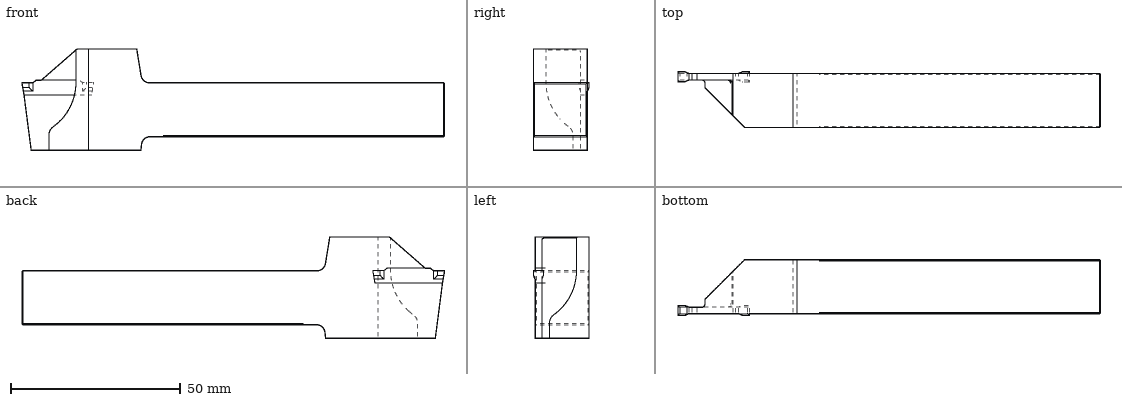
import cadquery as cq
import math

length = 125.0
shank_size = 16.0
shank_bottom = 4.0
shank_top = shank_bottom + shank_size
shank_chamfer = 0.4

head_height = 30.0
shoulder_top_x = 34.0
shoulder_x = 35.6
shoulder_bottom_x = 35.2
shoulder_radius = 2.5

blade_thickness = 2.0
blade_face_y = shank_size - blade_thickness
blade_tip_x = 0.6
blade_heel_x = 2.8
clamp_tip_x = 5.8
clamp_top_x = 16.4

bevel_start_x = 19.8
relief_top_x = 16.0
relief_foot_x = 8.0
relief_radius = 16.0
relief_foot_radius = 3.1
relief_corner_radius = 0.9

insert_length = 21.2
insert_bottom = 16.4
insert_top = 20.8
tip_width = 3.0
tip_length = 3.2
tip_straight_length = 2.1
tip_bottom = 17.5
tip_taper_start = 18.6
ramp_end_x = 4.2
tip_overhang = (tip_width - blade_thickness) / 2

margin = 6.2
pick = 0.1


def prism_y(points, y_start, y_end):
    """Extrude an XZ outline from y_start to y_end."""
    outline = cq.Workplane("XZ", origin=(0, y_start, 0)).polyline(points).close()
    return outline.extrude(y_start - y_end)


def make_shank():
    """Square bar with its far end and its lower long edges chamfered."""
    start_x = bevel_start_x
    bar = cq.Workplane("XY").box(length - start_x, shank_size, shank_size, centered=False)
    bar = bar.translate((start_x, 0, shank_bottom))
    return bar.faces(">X").edges().chamfer(shank_chamfer).edges("|X and <Z").chamfer(shank_chamfer)


def make_head():
    """Head block and blade outline, with rounded shoulders at the shank."""
    outline = [
        (blade_heel_x, 0),
        (shoulder_bottom_x, 0),
        (shoulder_x, shank_bottom),
        (shoulder_x + margin, shank_bottom),
        (shoulder_x + margin, shank_top),
        (shoulder_x, shank_top),
        (shoulder_top_x, head_height),
        (clamp_top_x, head_height),
        (clamp_tip_x, insert_top),
        (clamp_tip_x, insert_bottom),
        (blade_tip_x, insert_bottom),
    ]
    head = prism_y(outline, 0, shank_size)
    shoulder_edges = cq.selectors.BoxSelector(
        (shoulder_x - pick, -margin, shank_bottom - pick),
        (shoulder_x + pick, shank_size + margin, shank_top + pick),
    )
    return head.edges("|Y").edges(shoulder_edges).fillet(shoulder_radius)


def make_relief():
    """Space in front of the blade, bounded by a curved wall."""
    centre_x = relief_top_x - relief_radius
    foot_z = shank_top - math.sqrt(relief_radius**2 - (relief_foot_x - centre_x) ** 2)
    mid_angle = math.atan2(foot_z - shank_top, relief_foot_x - centre_x) / 2
    arc_middle = (
        centre_x + relief_radius * math.cos(mid_angle),
        shank_top + relief_radius * math.sin(mid_angle),
    )
    relief = (
        cq.Workplane("XZ", origin=(0, -margin, 0))
        .moveTo(-margin, -margin)
        .lineTo(relief_foot_x, -margin)
        .lineTo(relief_foot_x, foot_z)
        .threePointArc(arc_middle, (relief_top_x, shank_top))
        .lineTo(relief_top_x, head_height + margin)
        .lineTo(-margin, head_height + margin)
        .close()
        .extrude(-(blade_face_y + margin))
    )
    foot_edge = cq.selectors.BoxSelector(
        (relief_foot_x - pick, -margin, foot_z - pick),
        (relief_foot_x + pick, shank_size, foot_z + pick),
    )
    return relief.edges("|Y").edges(foot_edge).fillet(relief_foot_radius)


def make_bevel():
    """45 degree cut across the front corner of the head, stopping at the blade face."""
    corner = [
        (bevel_start_x, 0),
        (bevel_start_x - blade_face_y, blade_face_y),
        (-margin, blade_face_y),
        (-margin, 0),
    ]
    return cq.Workplane("XY").polyline(corner).close().extrude(head_height)


def make_tip():
    """Cutting tip, wider than the blade, narrowing rearward and downward."""
    plan = [
        (0, blade_face_y - tip_overhang),
        (tip_straight_length, blade_face_y - tip_overhang),
        (tip_length, blade_face_y),
        (tip_length, shank_size),
        (tip_straight_length, shank_size + tip_overhang),
        (0, shank_size + tip_overhang),
    ]
    section = [
        (blade_face_y, tip_bottom),
        (shank_size, tip_bottom),
        (shank_size + tip_overhang, tip_taper_start),
        (shank_size + tip_overhang, shank_top),
        (blade_face_y - tip_overhang, shank_top),
        (blade_face_y - tip_overhang, tip_taper_start),
    ]
    side = [
        (0, shank_top),
        (tip_length, shank_top),
        (tip_length, tip_bottom),
        (blade_tip_x * (shank_top - tip_bottom) / (shank_top - insert_bottom), tip_bottom),
    ]
    tip = cq.Workplane("XY").polyline(plan).close().extrude(head_height)
    tip = tip.intersect(cq.Workplane("YZ").polyline(section).close().extrude(tip_length))
    return tip.intersect(prism_y(side, -margin, shank_size + margin))


def make_insert():
    """Bar with a cutting tip at each end."""
    outline = [
        (0, shank_top),
        (tip_length, shank_top),
        (ramp_end_x, insert_top),
        (insert_length - ramp_end_x, insert_top),
        (insert_length - tip_length, shank_top),
        (insert_length, shank_top),
        (insert_length - blade_tip_x, insert_bottom),
        (blade_tip_x, insert_bottom),
    ]
    bar = prism_y(outline, blade_face_y, shank_size)
    tip = make_tip()
    rear_tip = tip.mirror("YZ").translate((insert_length, 0, 0))
    return bar.union(tip).union(rear_tip)


def make_holder(insert):
    """Head and shank with the relief, the bevel and the insert seat cut away."""
    relief = make_relief()
    rounded_relief = relief.faces(">Y").edges().fillet(relief_corner_radius)
    seat_height = insert_top - insert_bottom
    seat_band = cq.Workplane("XY").box(length, shank_size, seat_height, centered=False)
    seat_band = seat_band.translate((0, 0, insert_bottom))
    holder = make_head().cut(rounded_relief).cut(relief.intersect(seat_band))
    return holder.cut(make_bevel()).union(make_shank()).cut(insert)


insert = make_insert()
holder = make_holder(insert)
result = cq.Compound.makeCompound([holder.val(), insert.val()])